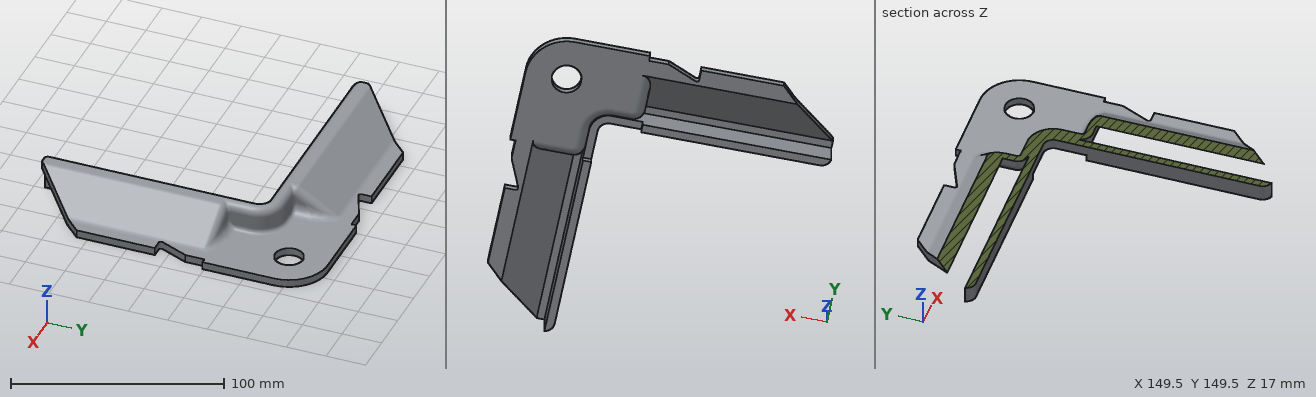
import cadquery as cq
import math

span = 149.5
height = 17.0
sheet = 4.0

corner_radius = 19.5
hole_diameter = 14.0
hole_inset = 19.5
edge_step = 2.5
step_at = 55.5
notch_near = 65.0
notch_far = 80.5
notch_depth = 8.5
notch_floor = 1.5
notch_radius = 1.0
miter_at = 120.0
wall_outer = 39.5
leg_end_radius = 5.0
inner_corner_radius = 5.0

crest_radius = 4.0
slope_angle = 31.5
foot_radius = 5.0
bend_radius = 3.0
crest_start = wall_outer - 2 * crest_radius
cap_face = 55.25
cavity_end = cap_face + sheet
cavity_corner_radius = 5.5
underside_radius = 5.25

rib_center = wall_outer - crest_radius
rib_foot_radius = 2.25
wall_lift = 3.25
turn_center = wall_outer + inner_corner_radius
valley_radius = cavity_corner_radius - sheet

slope = math.radians(slope_angle)
crest_bend = crest_start - bend_radius * math.tan(slope / 2)
slope_foot = crest_bend - (height - sheet) / math.tan(slope)
bend_shift = sheet * math.tan(slope / 2)


def mirrored(leg_feature):
    """The same feature on the other leg: X and Y swapped."""
    return leg_feature.mirror((1, -1, 0))


def with_mirror(leg_feature):
    """The feature on both legs."""
    return leg_feature.union(mirrored(leg_feature))


def along_leg(section, start, end):
    """Extrude a section, drawn as (distance from outer side, height), along the -X leg."""
    return section.extrude(end - start).translate((-start, 0, 0))


def section_plane():
    """Leg cross-section plane: x is the distance from the outer side, y the height."""
    return cq.Workplane(cq.Plane((0, 0, 0), (0, -1, 0), (-1, 0, 0)))


def plan_body():
    """Plan outline of the whole part at full height, outer corner at the origin."""
    half = (
        cq.Workplane("XY")
        .moveTo(0, 0)
        .lineTo(-step_at, 0)
        .lineTo(-step_at, -edge_step)
        .lineTo(-miter_at, -edge_step)
        .lineTo(-span, -(edge_step + span - miter_at))
        .lineTo(-span, -wall_outer)
        .lineTo(-wall_outer, -wall_outer)
        .close()
        .extrude(height)
    )
    half = half.edges(
        cq.selectors.NearestToPointSelector((-span, -wall_outer, height / 2))
    ).fillet(leg_end_radius)
    body = with_mirror(half)
    body = body.edges(
        cq.selectors.NearestToPointSelector((0, 0, height / 2))
    ).fillet(corner_radius)
    return body.edges(
        cq.selectors.NearestToPointSelector((-wall_outer, -wall_outer, height / 2))
    ).fillet(inner_corner_radius)


def edge_notch():
    """Notch in the outer edge of one leg: one sloping side, one straight side."""
    notch = (
        cq.Workplane("XY")
        .moveTo(-notch_near, -edge_step)
        .lineTo(-notch_far + notch_floor, -notch_depth)
        .lineTo(-notch_far, -notch_depth)
        .lineTo(-notch_far, -edge_step)
        .close()
        .extrude(height)
    )
    for corner in (-notch_far, -notch_far + notch_floor):
        corner_edge = cq.selectors.NearestToPointSelector((corner, -notch_depth, height / 2))
        notch = notch.edges(corner_edge).fillet(notch_radius)
    return notch


def plate(bottom, top):
    """Square slab over the full span between two heights."""
    return (
        cq.Workplane("XY", origin=(0, 0, bottom))
        .rect(-span, -span, centered=False)
        .extrude(top - bottom)
    )


def wedge(foot, crest, bottom, top, start):
    """Solid under a slope that rises from foot to crest, from start out to the leg end."""
    section = (
        section_plane()
        .moveTo(foot, bottom)
        .lineTo(crest, top)
        .lineTo(wall_outer, top)
        .lineTo(wall_outer, bottom)
        .close()
    )
    return along_leg(section, start, span)


def round_foot(body, slope_start, start, level, radius):
    """Concave bend where a wedge stands on a flat face; it runs on along the slope."""
    closed_end_foot = cq.selectors.NearestToPointSelector(
        (-start, -(slope_start + wall_outer) / 2, level))
    return body.edges(closed_end_foot).fillet(radius)


def outside_rib_center():
    """Space between the outer side of a leg and the center line of its rib."""
    return (
        cq.Workplane("XY")
        .box(span, rib_center, height, centered=False)
        .translate((-span, -rib_center, 0))
    )


def plate_with_leg():
    """Flange sheet with one raised leg, closed and rounded at the corner end."""
    leg = wedge(slope_foot, crest_bend, sheet, height, cap_face)
    crest_edge = cq.selectors.NearestToPointSelector((-(cap_face + span) / 2, -crest_bend, height))
    leg = leg.edges(crest_edge).fillet(bend_radius)
    cap_edge = cq.selectors.NearestToPointSelector(
        (-cap_face, -(slope_foot + crest_bend) / 2, (sheet + height) / 2))
    leg = leg.edges(cap_edge).fillet(crest_radius)
    body = round_foot(plate(0, sheet).union(leg), slope_foot, cap_face, sheet, foot_radius)
    return body.intersect(outside_rib_center())


def cavity_corner_block():
    """Block holding the upright corner between the closed end and the rib."""
    return (
        cq.Workplane("XY")
        .box(cavity_corner_radius, cavity_corner_radius, height - sheet, centered=False)
        .translate((-cavity_end, -rib_center, 0))
    )


def cavity_corner_post():
    """Round upright corner of the closed end, with its lower edge rounded."""
    arc_start = cavity_corner_radius - underside_radius
    arc_mid = underside_radius * math.sqrt(0.5)
    top = height - sheet
    return (
        cq.Workplane("XZ")
        .lineTo(arc_start, 0)
        .threePointArc(
            (arc_start + arc_mid, underside_radius - arc_mid),
            (cavity_corner_radius, underside_radius),
        )
        .lineTo(cavity_corner_radius, top)
        .lineTo(0, top)
        .close()
        .revolve(360, (0, 0), (0, 1))
        .translate((cavity_corner_radius - cavity_end, cavity_corner_radius - rib_center, 0))
    )


def leg_cavity():
    """Hollow under one raised leg, open below and at the leg end."""
    foot = slope_foot + bend_shift
    hollow = wedge(foot, crest_bend + bend_shift, 0, height - sheet, cavity_end)
    hollow = round_foot(plate(-sheet, 0).union(hollow), foot, cavity_end, 0, underside_radius)
    hollow = hollow.intersect(outside_rib_center())
    corner = cavity_corner_block()
    hollow = hollow.cut(corner).union(corner.cut(cavity_corner_post()))
    wall_gap = (
        cq.Workplane("XY")
        .box(cavity_corner_radius, wall_outer - rib_center, wall_lift, centered=False)
        .translate((-cavity_end, -wall_outer, 0))
    )
    return hollow.union(wall_gap)


def around_corner(draw_section, end):
    """Sweep a section along both legs, up to end, and round the inner corner between them."""
    straight = along_leg(draw_section(), turn_center, end)
    turn = draw_section().revolve(90, (turn_center, 0), (turn_center, -1))
    turn = turn.translate((-turn_center, 0, 0))
    return straight.union(turn).union(mirrored(straight))


def rib_section():
    """Wall with a fully rounded crest and a concave foot on the flange."""
    side = rib_center - crest_radius
    foot_mid = rib_foot_radius * (1 - math.sqrt(0.5))
    return (
        section_plane()
        .moveTo(side - rib_foot_radius, sheet)
        .threePointArc(
            (side - foot_mid, sheet + foot_mid),
            (side, sheet + rib_foot_radius),
        )
        .lineTo(side, height - crest_radius)
        .threePointArc((rib_center, height), (wall_outer, height - crest_radius))
        .lineTo(wall_outer, 0)
        .lineTo(side - rib_foot_radius, 0)
        .close()
    )


def underside_section():
    """Space below the lifted wall, bounded by the rounded lower edge of the rib."""
    radius = underside_radius
    arc_mid = radius * math.sqrt(0.5)
    return (
        section_plane()
        .moveTo(wall_outer, 0)
        .lineTo(wall_outer, wall_lift)
        .lineTo(rib_center, wall_lift)
        .lineTo(rib_center, radius)
        .threePointArc((rib_center - radius + arc_mid, radius - arc_mid), (rib_center - radius, 0))
        .close()
    )


def hole():
    """Through hole in the corner flange."""
    return (
        cq.Workplane("XY")
        .center(-hole_inset, -hole_inset)
        .circle(hole_diameter / 2)
        .extrude(sheet)
    )


def upper_body():
    """Flange, legs and rib before hollowing, with the legs blended into the rib."""
    legs = with_mirror(plate_with_leg().intersect(plan_body()))
    body = legs.union(around_corner(rib_section, span).intersect(plan_body()))
    valley_height = (sheet + height) / 2
    for valley in (
        (-cap_face, -crest_start, valley_height),
        (-crest_start, -cap_face, valley_height),
    ):
        body = body.edges(cq.selectors.NearestToPointSelector(valley)).fillet(valley_radius)
    return body


result = (
    upper_body()
    .cut(with_mirror(leg_cavity()))
    .cut(around_corner(underside_section, cavity_end - cavity_corner_radius))
    .cut(with_mirror(edge_notch()))
    .cut(hole())
)